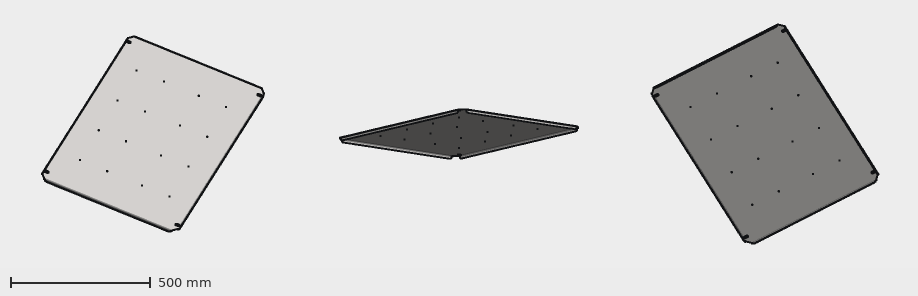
import cadquery as cq

length_x = 549.0
length_y = 716.5
height = 13.0

sheet = 1.5
bend_radius = 3.0

corner_cut = 17.0
flange_setback = 22.0
flange_chamfer_length = 6.5
flange_chamfer_height = 4.0

slot_length = 15.0
slot_width = 7.0
slot_spacing_x = 525.0
slot_spacing_y = 650.0

hole_diameter = 1.8
hole_columns = (-180.0, -70.0, 70.0, 180.0)
hole_rows = 4
hole_row_spacing = 150.0

cut_depth = 2 * sheet


def folded_edge(edge_to_centre, end_to_end):
    """Bend and flange along the +X edge of a plate whose top lies at Z = 0."""
    inner_radius = bend_radius - sheet
    bend_start = edge_to_centre - bend_radius
    profile = (
        cq.Workplane("XZ", origin=(0, end_to_end / 2, 0))
        .moveTo(bend_start, 0)
        .radiusArc((edge_to_centre, -bend_radius), bend_radius)
        .lineTo(edge_to_centre, -height)
        .lineTo(edge_to_centre - sheet, -height)
        .lineTo(edge_to_centre - sheet, -bend_radius)
        .radiusArc((bend_start, -sheet), -inner_radius)
        .close()
        .extrude(end_to_end)
    )
    half_bend = end_to_end / 2 - corner_cut
    half_flange = end_to_end / 2 - flange_setback
    half_bottom = half_flange - flange_chamfer_length
    outline = (
        cq.Workplane("YZ")
        .polyline([
            (-half_bend, 0),
            (half_bend, 0),
            (half_bend, -bend_radius),
            (half_flange, -bend_radius),
            (half_flange, flange_chamfer_height - height),
            (half_bottom, -height),
            (-half_bottom, -height),
            (-half_flange, flange_chamfer_height - height),
            (-half_flange, -bend_radius),
            (-half_bend, -bend_radius),
        ])
        .close()
        .extrude(edge_to_centre)
    )
    return profile.intersect(outline)


plate_x = length_x - 2 * bend_radius
plate_y = length_y - 2 * bend_radius
result = (
    cq.Workplane("XY")
    .box(plate_x, plate_y, sheet, centered=(True, True, False))
    .translate((0, 0, -sheet))
    .edges("|Z")
    .chamfer(corner_cut - bend_radius)
)

side_edge = folded_edge(length_x / 2, length_y)
end_edge = folded_edge(length_y / 2, length_x)
for edge, angle in ((side_edge, 0), (end_edge, 90), (side_edge, 180), (end_edge, 270)):
    result = result.union(edge.rotate((0, 0, 0), (0, 0, 1), angle))

slots = (
    cq.Workplane("XY")
    .rarray(slot_spacing_x, slot_spacing_y, 2, 2)
    .slot2D(slot_length, slot_width)
    .extrude(-cut_depth)
)
result = result.cut(slots)

first_row = -hole_row_spacing * (hole_rows - 1) / 2
hole_places = [(x, first_row + row * hole_row_spacing) for x in hole_columns for row in range(hole_rows)]
holes = (
    cq.Workplane("XY")
    .pushPoints(hole_places)
    .circle(hole_diameter / 2)
    .extrude(-cut_depth)
)
result = result.cut(holes)